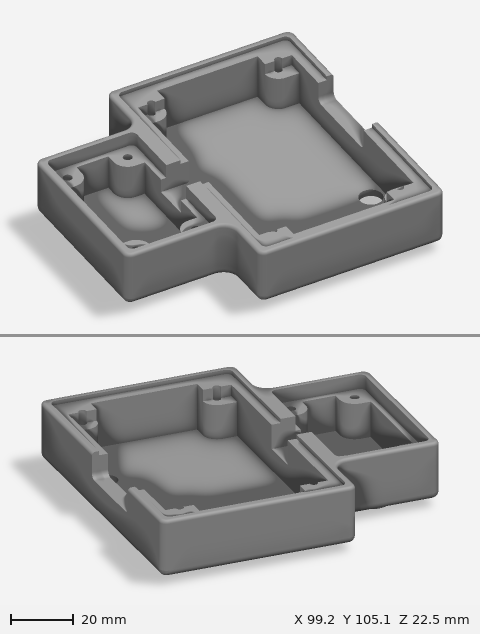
import cadquery as cq

MAIN_WIDTH = 99.2
MAIN_LENGTH = 67.6
FRONT_WIDTH = 59.2
TOTAL_LENGTH = 105.1
SHELL_HEIGHT = 20.0
FLOOR = 2.5
CORNER_RADIUS = 2.5
INNER_CORNER_RADIUS = 5.0
BOTTOM_RADIUS = 2.4
RIM_RADIUS = 1.2

LID_WALL = 2.5
LID_CORNER_RADIUS = 2.0
MAIN_LID_DEPTH = 1.5
FRONT_LID_DEPTH = 5.0
FRONT_LID_LENGTH = 32.4

MAIN_CAVITY_WIDTH = 87.5
MAIN_CAVITY_LENGTH = 56.3
MAIN_HOLE_PITCH_X = 78.0
MAIN_HOLE_PITCH_Y = 46.5
MAIN_HOLE_DIAMETER = 2.7
PAD_RADIUS = 4.8
PAD_HEIGHT = 12.0

FRONT_CAVITY_WIDTH = 50.7
FRONT_CAVITY_LENGTH = 28.6
FRONT_HOLE_PITCH_X = 43.9
FRONT_HOLE_PITCH_Y = 22.0
FRONT_HOLE_DIAMETER = 3.2
POST_RADIUS = 5.1

CABLE_HOLE_DIAMETER = 8.0
CABLE_HOLE_X = 20.4

BACK_NOTCH_DEPTH = 9.0
BACK_NOTCH_WIDTH = 29.0
BACK_NOTCH_X = -7.5
BACK_NOTCH_RADIUS = 2.0
LINK_NOTCH_DEPTH = 10.0
LINK_NOTCH_WIDTH = 12.7

FOOT_TOP_RADIUS = 6.5
FOOT_BOTTOM_RADIUS = 6.2
FOOT_CHAMFER = 0.3
FOOT_HEIGHT = 2.5
FOOT_INSET_Y = 18.9
BACK_FOOT_X = 30.8
FRONT_FOOT_X = 17.7

MAIN_CENTER_Y = -MAIN_LENGTH / 2
CABLE_HOLE_Y = MAIN_CENTER_Y + MAIN_HOLE_PITCH_Y / 2
MAIN_LID_LENGTH = MAIN_LENGTH - 2 * LID_WALL
FRONT_CENTER_Y = -TOTAL_LENGTH + LID_WALL + FRONT_LID_LENGTH / 2
MAIN_LID_FLOOR = SHELL_HEIGHT - MAIN_LID_DEPTH
FRONT_LID_FLOOR = SHELL_HEIGHT - FRONT_LID_DEPTH
PAD_TOP = FLOOR + PAD_HEIGHT
MAIN_CAVITY_FRONT_Y = MAIN_CENTER_Y - MAIN_CAVITY_LENGTH / 2
FRONT_CAVITY_BACK_Y = FRONT_CENTER_Y + FRONT_CAVITY_LENGTH / 2


def block(width, length, center_x, center_y, bottom, top):
    """Box centred in X and Y that spans bottom to top in Z."""
    box = cq.Workplane("XY").box(width, length, top - bottom, centered=(True, True, False))
    return box.translate((center_x, center_y, bottom))


def cylinder(radius, x, y, bottom, top):
    return cq.Workplane("XY", origin=(x, y, bottom)).circle(radius).extrude(top - bottom)


def corners(pitch_x, pitch_y, center_y):
    """Four points of a rectangle, each with the X and Y signs of its corner."""
    return [
        (side_x * pitch_x / 2, center_y + side_y * pitch_y / 2, side_x, side_y)
        for side_x in (-1, 1)
        for side_y in (-1, 1)
    ]


def make_shell():
    half_main = MAIN_WIDTH / 2
    half_front = FRONT_WIDTH / 2
    shell = (
        cq.Workplane("XY")
        .polyline([
            (-half_main, 0),
            (half_main, 0),
            (half_main, -MAIN_LENGTH),
            (half_front, -MAIN_LENGTH),
            (half_front, -TOTAL_LENGTH),
            (-half_front, -TOTAL_LENGTH),
            (-half_front, -MAIN_LENGTH),
            (-half_main, -MAIN_LENGTH),
        ])
        .close()
        .extrude(SHELL_HEIGHT)
    )
    for side in (-1, 1):
        inner_corner = cq.selectors.NearestToPointSelector((side * half_front, -MAIN_LENGTH, SHELL_HEIGHT / 2))
        shell = shell.edges(inner_corner).fillet(INNER_CORNER_RADIUS)
    for corner_x, corner_y in ((half_main, 0), (half_main, -MAIN_LENGTH), (half_front, -TOTAL_LENGTH)):
        for side in (-1, 1):
            outer_corner = cq.selectors.NearestToPointSelector((side * corner_x, corner_y, SHELL_HEIGHT / 2))
            shell = shell.edges(outer_corner).fillet(CORNER_RADIUS)
    return shell.faces("<Z").edges().fillet(BOTTOM_RADIUS).faces(">Z").edges().fillet(RIM_RADIUS)


def make_lid_recess(width, length, center_y, floor):
    recess = block(width, length, 0, center_y, floor, SHELL_HEIGHT)
    return recess.edges("|Z").fillet(LID_CORNER_RADIUS)


def make_main_cavity():
    """Pocket that leaves a full-height block outside each hole and a lower round pad inside it."""
    cavity = block(MAIN_CAVITY_WIDTH, MAIN_CAVITY_LENGTH, 0, MAIN_CENTER_Y, FLOOR, MAIN_LID_FLOOR)
    reach = 2 * PAD_RADIUS
    for x, y, side_x, side_y in corners(MAIN_HOLE_PITCH_X, MAIN_HOLE_PITCH_Y, MAIN_CENTER_Y):
        block_x = x + side_x * reach / 2
        block_y = y + side_y * (reach - PAD_RADIUS) / 2
        cavity = cavity.cut(block(reach, reach + PAD_RADIUS, block_x, block_y, FLOOR, MAIN_LID_FLOOR))
        cavity = cavity.cut(cylinder(PAD_RADIUS, x, y, FLOOR, PAD_TOP))
        cavity = cavity.cut(block(2 * PAD_RADIUS, reach, x, y + side_y * reach / 2, FLOOR, PAD_TOP))
    return cavity


def make_front_cavity():
    """Pocket that leaves a post with one rounded corner around each hole."""
    cavity = block(FRONT_CAVITY_WIDTH, FRONT_CAVITY_LENGTH, 0, FRONT_CENTER_Y, FLOOR, FRONT_LID_FLOOR)
    reach = 2 * POST_RADIUS
    for x, y, side_x, side_y in corners(FRONT_HOLE_PITCH_X, FRONT_HOLE_PITCH_Y, FRONT_CENTER_Y):
        cavity = cavity.cut(cylinder(POST_RADIUS, x, y, FLOOR, FRONT_LID_FLOOR))
        cavity = cavity.cut(block(2 * POST_RADIUS, reach, x, y + side_y * reach / 2, FLOOR, FRONT_LID_FLOOR))
        cavity = cavity.cut(block(reach, 2 * POST_RADIUS, x + side_x * reach / 2, y, FLOOR, FRONT_LID_FLOOR))
    return cavity


def make_back_notch():
    length = (MAIN_LENGTH - MAIN_CAVITY_LENGTH) / 2
    bottom = SHELL_HEIGHT - BACK_NOTCH_DEPTH
    notch = block(BACK_NOTCH_WIDTH, length, BACK_NOTCH_X, -length / 2, bottom, SHELL_HEIGHT)
    return notch.edges("|Y and <Z").fillet(BACK_NOTCH_RADIUS)


def make_link_notch():
    length = MAIN_CAVITY_FRONT_Y - FRONT_CAVITY_BACK_Y
    center_y = (MAIN_CAVITY_FRONT_Y + FRONT_CAVITY_BACK_Y) / 2
    return block(LINK_NOTCH_WIDTH, length, 0, center_y, SHELL_HEIGHT - LINK_NOTCH_DEPTH, SHELL_HEIGHT)


def make_foot(x, y):
    """Round foot that narrows slightly toward the ground."""
    profile = [(0, 0), (FOOT_TOP_RADIUS, 0), (FOOT_BOTTOM_RADIUS, -FOOT_HEIGHT), (0, -FOOT_HEIGHT)]
    foot = cq.Workplane("XZ").polyline(profile).close().revolve(360, (0, 0), (0, 1))
    return foot.faces("<Z").edges().chamfer(FOOT_CHAMFER).translate((x, y, 0))


def make_lid_recesses():
    main_width = MAIN_WIDTH - 2 * LID_WALL
    front_width = FRONT_WIDTH - 2 * LID_WALL
    main = make_lid_recess(main_width, MAIN_LID_LENGTH, MAIN_CENTER_Y, MAIN_LID_FLOOR)
    front = make_lid_recess(front_width, FRONT_LID_LENGTH, FRONT_CENTER_Y, FRONT_LID_FLOOR)
    return main.union(front)


def make_feet():
    feet = cq.Workplane("XY")
    for side in (-1, 1):
        feet = feet.add(make_foot(side * BACK_FOOT_X, -FOOT_INSET_Y))
        feet = feet.add(make_foot(side * FRONT_FOOT_X, -TOTAL_LENGTH + FOOT_INSET_Y))
    return feet.combine()


def make_holes():
    """Screw holes and the cable hole, all open through the floor."""
    main_corners = corners(MAIN_HOLE_PITCH_X, MAIN_HOLE_PITCH_Y, MAIN_CENTER_Y)
    front_corners = corners(FRONT_HOLE_PITCH_X, FRONT_HOLE_PITCH_Y, FRONT_CENTER_Y)
    holes = cylinder(CABLE_HOLE_DIAMETER / 2, CABLE_HOLE_X, CABLE_HOLE_Y, 0, FLOOR)
    for points, diameter in ((main_corners, MAIN_HOLE_DIAMETER), (front_corners, FRONT_HOLE_DIAMETER)):
        for x, y, _, _ in points:
            holes = holes.union(cylinder(diameter / 2, x, y, 0, SHELL_HEIGHT))
    return holes


result = (
    make_shell()
    .union(make_feet())
    .cut(make_lid_recesses())
    .cut(make_main_cavity())
    .cut(make_front_cavity())
    .cut(make_back_notch())
    .cut(make_link_notch())
    .cut(make_holes())
)